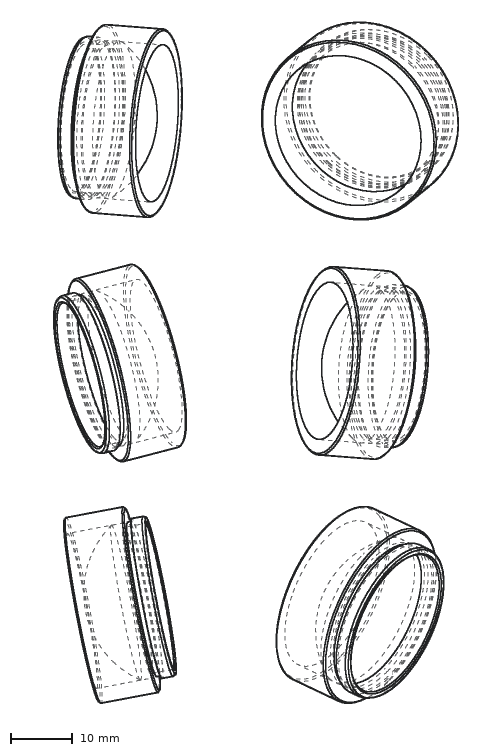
import cadquery as cq
import math


total_length = 12.95
flange_start = 3.05
spigot_length = 2.3

body_radius = 15.25
spigot_radius = 13.15
neck_radius = 12.68
bore_radius = 11.98

body_chamfer = 0.27
spigot_chamfer_length = 0.45
spigot_chamfer_depth = 0.2
bore_chamfer = 0.25

lens_radius = 12.7
lens_face = 3.8
lens_thickness = 8.6
lens_curvature = 15.45


def revolve_about_x(profile):
    """Turn a closed half profile, drawn as (x, radius), about the X axis."""
    return profile.close().revolve(360, (0, 0, 0), (1, 0, 0))


def make_housing():
    """Stepped ring: chamfered spigot, relief neck and wide body, with a shoulder for the lens."""
    profile = (
        cq.Workplane("XY")
        .moveTo(0, bore_radius + bore_chamfer)
        .lineTo(0, spigot_radius - spigot_chamfer_depth)
        .lineTo(spigot_chamfer_length, spigot_radius)
        .lineTo(spigot_length, spigot_radius)
        .lineTo(spigot_length, neck_radius)
        .lineTo(flange_start, neck_radius)
        .lineTo(flange_start, body_radius - body_chamfer)
        .lineTo(flange_start + body_chamfer, body_radius)
        .lineTo(total_length - body_chamfer, body_radius)
        .lineTo(total_length, body_radius - body_chamfer)
        .lineTo(total_length, lens_radius)
        .lineTo(lens_face, lens_radius)
        .lineTo(lens_face, bore_radius)
        .lineTo(bore_chamfer, bore_radius)
    )
    return revolve_about_x(profile)


def make_lens():
    """Flat on the shoulder side, spherical on the other, filling the pocket at its rim."""
    apex = lens_face + lens_thickness
    sphere_centre = apex - lens_curvature
    rim_end = sphere_centre + math.sqrt(lens_curvature**2 - lens_radius**2)
    mid_radius = lens_radius / 2
    mid_point = (sphere_centre + math.sqrt(lens_curvature**2 - mid_radius**2), mid_radius)
    profile = (
        cq.Workplane("XY")
        .moveTo(lens_face, 0)
        .lineTo(lens_face, lens_radius)
        .lineTo(rim_end, lens_radius)
        .threePointArc(mid_point, (apex, 0))
    )
    return revolve_about_x(profile)


housing = make_housing()
lens = make_lens()

result = cq.Compound.makeCompound([housing.val(), lens.val()])